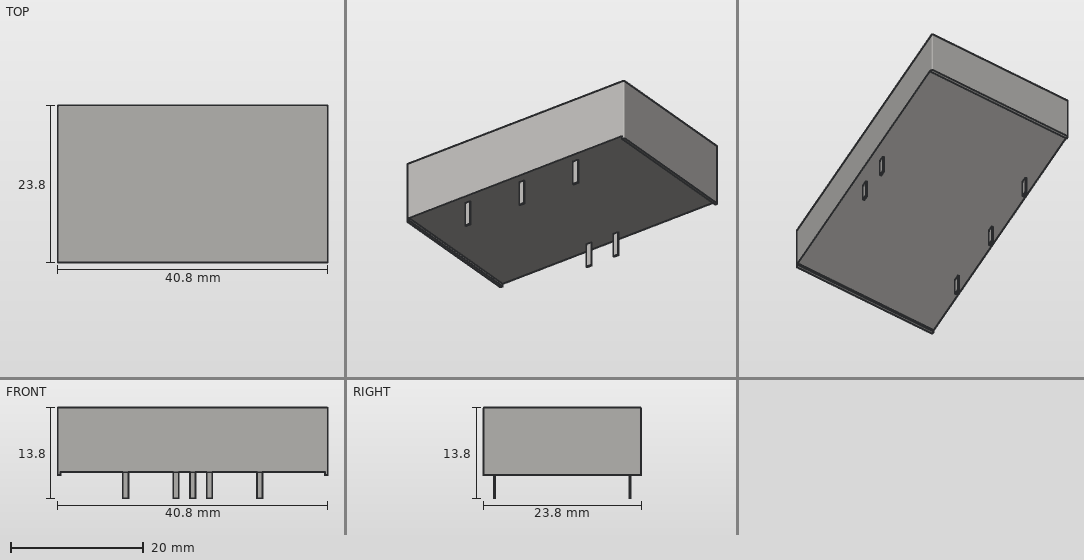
import cadquery as cq

length = 40.75
width = 23.75
total_height = 13.75

pin_exposed_length = 3.95
lip_height = 0.45
lip_thickness = 0.45
edge_radius = 0.2
housing_top = total_height / 2
pin_tip = -total_height / 2
underside = pin_tip + pin_exposed_length
housing_bottom = underside - lip_height

pin_width = 0.9
pin_thickness = 0.25
pin_pitch = 2.53
row_offset = 10.23
outer_pin_offset = 4 * pin_pitch
pin_positions = [
    (-pin_pitch, -row_offset),
    (pin_pitch, -row_offset),
    (-outer_pin_offset, row_offset),
    (0, row_offset),
    (outer_pin_offset, row_offset),
]


def make_housing():
    """Block with rounded top and upright edges, relieved underneath between the end lips."""
    block = (
        cq.Workplane("XY", origin=(0, 0, housing_bottom))
        .rect(length, width)
        .extrude(housing_top - housing_bottom)
        .edges("|Z or >Z")
        .fillet(edge_radius)
    )
    relief = (
        cq.Workplane("XY", origin=(0, 0, housing_bottom))
        .rect(length - 2 * lip_thickness, width)
        .extrude(lip_height)
    )
    return block.cut(relief)


def make_pin(x, y):
    """Flat rectangular pin hanging from the housing underside."""
    return (
        cq.Workplane("XY", origin=(x, y, pin_tip))
        .rect(pin_width, pin_thickness)
        .extrude(pin_exposed_length)
    )


housing = make_housing()
pins = [make_pin(x, y) for x, y in pin_positions]

result = cq.Compound.makeCompound([housing.val(), *[pin.val() for pin in pins]])